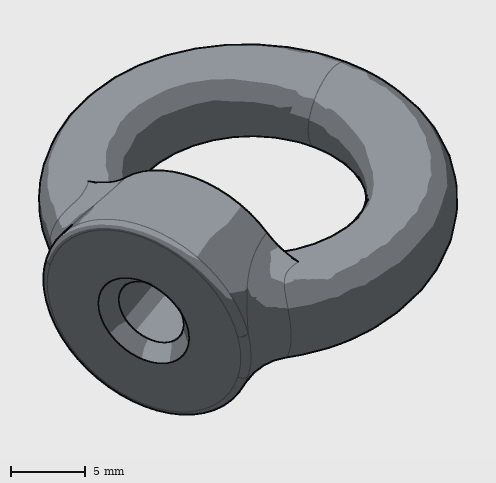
import cadquery as cq
import math

OUTER_RADIUS = 14.0
OUTER_CENTER_Y = OUTER_RADIUS
INNER_RADIUS = 7.75
INNER_CENTER_Y = 14.25
MID_HALF_HEIGHT = 3.5
HEIGHT_TAPER = math.tan(math.radians(2.1))
CROWN_ANGLE = 90.0
BURIED_ANGLE = -62.0
SECTION_COUNT = 9

BOSS_RADIUS = 8.0
BOSS_DRAFT = math.tan(math.radians(5.0))
SHOULDER_Y = 6.98
TOP_Y = 7.93
TOP_FLAT_RADIUS = 3.1
BASE_ROUND = 0.5
BLEND_RADIUS = 4.0
BOTTOM_MARGIN = 2.0
TOP_MARGIN = 1.0
ENVELOPE_RADIUS = 12.0

HOLE_DIAMETER = 5.0
COUNTERSINK_DIAMETER = 7.0


def boss_radius(y):
    """Radius of the drafted boss side at a height above the base."""
    return BOSS_RADIUS - y * BOSS_DRAFT


def inner_distance(angle):
    """Distance from the outer circle's center to the eye opening along a ray."""
    shift = INNER_CENTER_Y - OUTER_CENTER_Y
    across = shift * math.cos(angle)
    along = shift * math.sin(angle)
    return along + math.sqrt(INNER_RADIUS**2 - across**2)


def ring_section(angle):
    """Elliptical ring section, longest along Z, in the radial plane at an angle above +X."""
    inner = inner_distance(angle)
    radial_half = (OUTER_RADIUS - inner) / 2
    mid_radius = (OUTER_RADIUS + inner) / 2
    rise = mid_radius * math.sin(angle)
    half_height = MID_HALF_HEIGHT - rise * HEIGHT_TAPER
    center = cq.Vector(mid_radius * math.cos(angle), OUTER_CENTER_Y + rise, 0)
    tangent = cq.Vector(-math.sin(angle), math.cos(angle), 0)
    ellipse = cq.Edge.makeEllipse(half_height, radial_half, center, tangent, cq.Vector(0, 0, 1))
    return cq.Wire.assembleEdges([ellipse])


def make_ring():
    """Open ring: one half lofted from crown to boss, then mirrored."""
    step = (CROWN_ANGLE - BURIED_ANGLE) / (SECTION_COUNT - 1)
    angles = [math.radians(CROWN_ANGLE - i * step) for i in range(SECTION_COUNT)]
    half = cq.Workplane(cq.Solid.makeLoft([ring_section(a) for a in angles]))
    return half.union(half.mirror("YZ"))


def revolve_about_y(points):
    """Revolve (radius, y) points; the seam lies at +Z, clear of the blends at +X and -X."""
    return cq.Workplane("ZY").polyline(points).close().revolve(360, (0, 0), (0, 1))


def make_long_boss():
    """Boss cone lengthened at both ends so the blend runs past the final faces."""
    low = -BOTTOM_MARGIN
    high = TOP_Y + TOP_MARGIN
    return revolve_about_y([(0, low), (boss_radius(low), low), (boss_radius(high), high), (0, high)])


def make_envelope():
    """Space between the base plane and the sloping boss top."""
    slope = (TOP_Y - SHOULDER_Y) / (boss_radius(SHOULDER_Y) - TOP_FLAT_RADIUS)
    rim_y = TOP_Y - slope * (ENVELOPE_RADIUS - TOP_FLAT_RADIUS)
    return revolve_about_y(
        [(0, 0), (ENVELOPE_RADIUS, 0), (ENVELOPE_RADIUS, rim_y), (TOP_FLAT_RADIUS, TOP_Y), (0, TOP_Y)]
    )


def make_blended_boss(ring):
    """Boss with the fillets that lead into both ring legs, trimmed to its final length."""
    joined = make_long_boss().union(ring)
    near_boss = cq.selectors.BoxSelector(
        (-OUTER_RADIUS, -BOTTOM_MARGIN, -BOSS_RADIUS),
        (OUTER_RADIUS, TOP_Y + TOP_MARGIN, BOSS_RADIUS),
    )
    blended = joined.edges("%BSPLINE").edges(near_boss).fillet(BLEND_RADIUS)
    boss = blended.intersect(make_envelope())
    return boss.faces("<Y").edges().fillet(BASE_ROUND)


def cut_hole(body):
    """Through hole along the boss axis with a 45 degree countersink at the base."""
    radius = HOLE_DIAMETER / 2
    mouth = COUNTERSINK_DIAMETER / 2
    depth = mouth - radius
    tool = revolve_about_y([(0, 0), (mouth, 0), (radius, depth), (radius, TOP_Y), (0, TOP_Y)])
    return body.cut(tool)


ring = make_ring()
result = cut_hole(make_blended_boss(ring).union(ring))